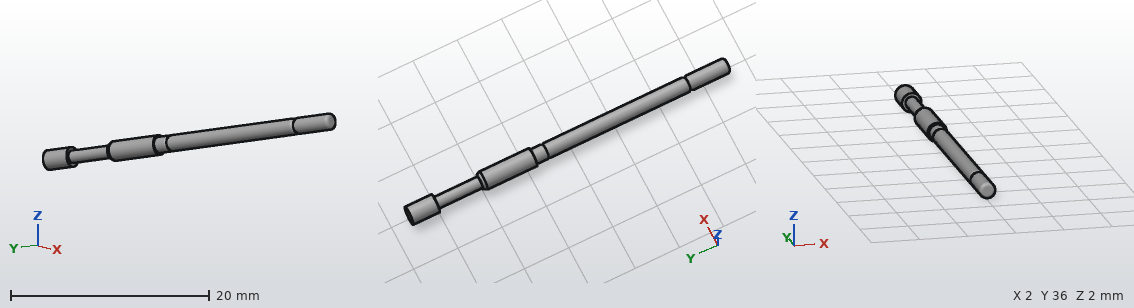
import cadquery as cq
import math

LENGTH = 36.0

HEAD_RADIUS = 1.0
HEAD_LENGTH = 3.0
NECK_RADIUS = 0.65

COLLAR_RADIUS = HEAD_RADIUS
COLLAR_START = 8.0
COLLAR_END = 14.0
COLLAR_TAPER_LENGTH = 0.4
COLLAR_TAPER_DEPTH = 0.2

TUBE_DIAMETER = 1.65
TUBE_RADIUS = TUBE_DIAMETER / 2
TUBE_END_FACE_DIAMETER = 0.9
TUBE_END_FILLET = TUBE_RADIUS - TUBE_END_FACE_DIAMETER / 2

UPPER_CRIMP = (15.45, 0.2, 0.15)
LOWER_CRIMP = (31.5, 0.32, 0.18)


def rod(start, end, radius):
    """Solid cylinder between two distances measured from the head face toward -Y."""
    return (
        cq.Workplane("XZ", origin=(0, LENGTH / 2 - start, 0))
        .circle(radius)
        .extrude(end - start)
    )


def crimp_cutter(center, half_width, depth):
    """Ring that leaves two rounded shoulders, tangent to the tube, meeting in a sharp valley."""
    shoulder_radius = (half_width**2 + depth**2) / (2 * depth)
    half_angle = math.asin(half_width / shoulder_radius) / 2
    mid_offset = half_width - shoulder_radius * math.sin(half_angle)
    mid_radius = TUBE_RADIUS - shoulder_radius * (1 - math.cos(half_angle))
    clear_radius = TUBE_RADIUS + depth
    y = LENGTH / 2 - center
    return (
        cq.Workplane("XY")
        .moveTo(clear_radius, y - half_width)
        .lineTo(TUBE_RADIUS, y - half_width)
        .threePointArc((mid_radius, y - mid_offset), (TUBE_RADIUS - depth, y))
        .threePointArc((mid_radius, y + mid_offset), (TUBE_RADIUS, y + half_width))
        .lineTo(clear_radius, y + half_width)
        .close()
        .revolve(360, (0, 0, 0), (0, 1, 0))
    )


def plunger():
    head = rod(0, HEAD_LENGTH, HEAD_RADIUS)
    neck = rod(HEAD_LENGTH, COLLAR_START, NECK_RADIUS)
    return head.union(neck)


def collar():
    body = rod(COLLAR_START, COLLAR_END, COLLAR_RADIUS)
    return body.faces(">Y").edges().chamfer(COLLAR_TAPER_LENGTH, COLLAR_TAPER_DEPTH)


def tube():
    body = rod(COLLAR_END, LENGTH, TUBE_RADIUS).faces("<Y").edges().fillet(TUBE_END_FILLET)
    for crimp in (UPPER_CRIMP, LOWER_CRIMP):
        body = body.cut(crimp_cutter(*crimp))
    return body


result = plunger().union(collar()).union(tube())